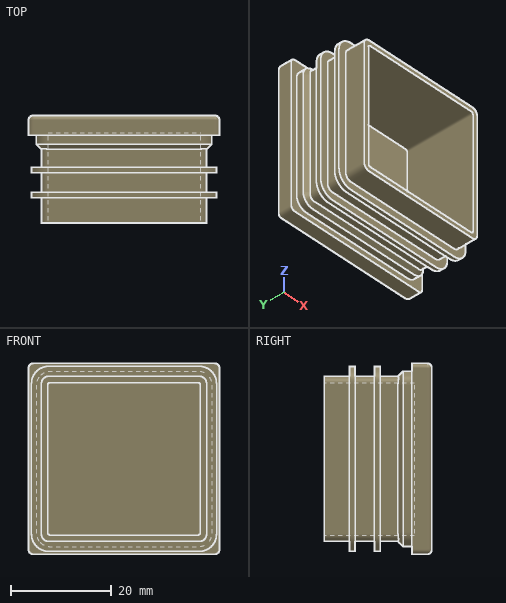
import cadquery as cq

total_depth = 21.5

head_size = 38.1
head_depth = 4.0
head_corner_round = 1.0
head_edge_round = 0.95

collar_size = 34.98
collar_round = 2.8
collar_straight = 1.75

tube_size = 32.9
tube_round = 1.45
wall = 1.25
cavity_round = 0.5
floor_depth = 3.5

rib_size = 36.88
rib_round = 3.43
rib_thickness = 1.2
rib_pitch = 5.0
rib_count = 2
first_rib_start = 10.3

collar_taper = (collar_size - tube_size) / 2
collar_depth = collar_straight + collar_taper


def rounded_square(size, start, depth, corner_round):
    """Square block with rounded Y edges; start is measured from the outer face towards -Y."""
    block = cq.Workplane("XZ", origin=(0, -start, 0)).rect(size, size).extrude(depth)
    return block.edges("|Y").fillet(corner_round)


def make_head():
    head = rounded_square(head_size, 0, head_depth, head_corner_round)
    return head.faces(">Y").edges().fillet(head_edge_round)


def make_collar():
    collar = rounded_square(collar_size, head_depth, collar_depth, collar_round)
    return collar.faces("<Y").edges().chamfer(collar_taper)


def make_cavity():
    cavity_size = tube_size - 2 * wall
    return rounded_square(cavity_size, floor_depth, total_depth - floor_depth, cavity_round)


tube = rounded_square(tube_size, head_depth, total_depth - head_depth, tube_round)
body = make_head().union(tube).union(make_collar())

for index in range(rib_count):
    rib_start = first_rib_start + index * rib_pitch
    body = body.union(rounded_square(rib_size, rib_start, rib_thickness, rib_round))

result = body.cut(make_cavity())